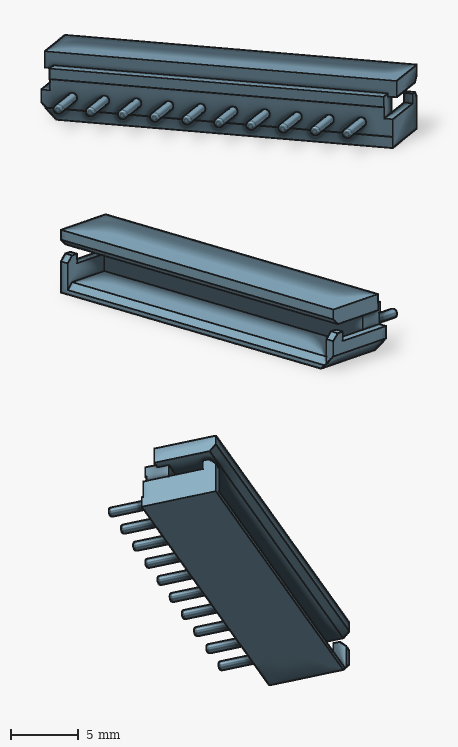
import cadquery as cq

length = 27.4
height = 4.9
depth = 5.9
back = depth

cover_depth = 4.9
cover_underside = 3.65

rail_width = 0.68
rail_top = 2.2
hook_top = 2.93
hook_length = 1.05
lead_in = 0.5
key_chamfer = 1.23

block_top = 3.9
block_rear = 1.9
floor_top = 0.85

recess_depth = 0.1
recess_bottom = 0.85
recess_top = 3.07

pin_count = 10
pin_row = 22.5
pin_pitch = pin_row / (pin_count - 1)
pin_diameter = 0.7
pin_height = 1.78
pin_tip = 3.5
pin_rounding = 0.2

inner_length = length - 2 * rail_width


def bar(bar_length, profile):
    """Extrude a (Y, Z) profile along X, centred on X = 0."""
    return cq.Workplane("YZ").polyline(profile).close().extrude(bar_length / 2, both=True)


def make_cover():
    front = back - cover_depth
    return bar(length, [
        (front, cover_underside),
        (back - lead_in, cover_underside),
        (back, cover_underside + lead_in),
        (back, height),
        (front, height),
    ])


def make_base():
    """Base with hooked rails at both ends, a sunken floor between them and the key bevel."""
    base = bar(length, [
        (0, 0),
        (back, 0),
        (back, hook_top - lead_in),
        (back - lead_in, hook_top),
        (back - hook_length, hook_top),
        (back - hook_length, rail_top),
        (0, rail_top),
    ])
    mouth = bar(inner_length, [
        (block_rear, floor_top),
        (back - lead_in, floor_top),
        (back, floor_top - lead_in),
        (back, hook_top),
        (block_rear, hook_top),
    ])
    left = -length / 2
    key = (
        cq.Workplane("XZ")
        .polyline([(left, 0), (left + key_chamfer, 0), (left, key_chamfer)])
        .close()
        .extrude(-depth)
    )
    return base.cut(mouth).cut(key)


def make_block():
    """Block between the rails, notched at the top to hold the cover plate."""
    return bar(inner_length, [
        (0, rail_top),
        (block_rear, rail_top),
        (block_rear, block_top),
        (0, block_top),
    ])


def make_front_recess():
    return bar(length, [
        (0, recess_bottom),
        (recess_depth, recess_bottom),
        (recess_depth, recess_top),
        (0, recess_top),
    ])


def make_pin(x):
    return (
        cq.Workplane("XZ", origin=(x, block_rear / 2, pin_height))
        .circle(pin_diameter / 2)
        .extrude(block_rear / 2 + pin_tip)
        .faces("<Y")
        .edges()
        .fillet(pin_rounding)
    )


result = make_base().union(make_block()).union(make_cover()).cut(make_front_recess())

first_pin_x = -pin_row / 2
for i in range(pin_count):
    result = result.union(make_pin(first_pin_x + i * pin_pitch))